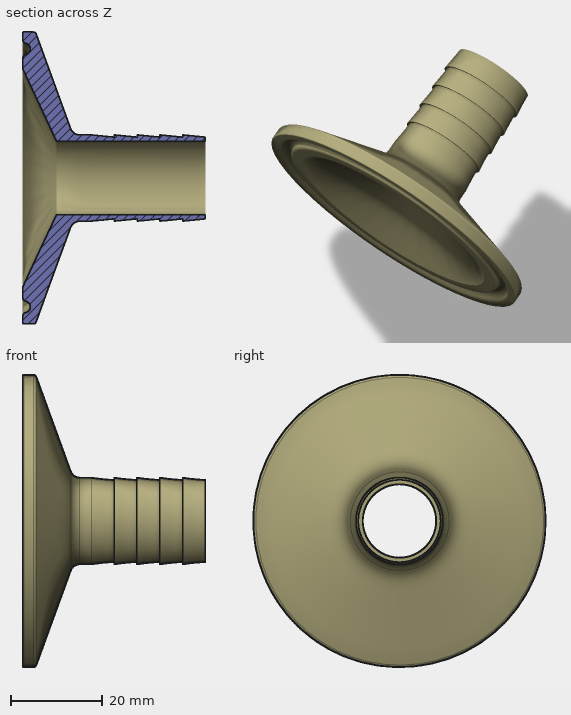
import cadquery as cq
import math


total_length = 40.0
bore_radius = 8.0

flange_radius = 32.0
rim_thickness = 2.85
outer_cone_angle = math.radians(20.0)
front_rim_fillet = 0.25
rear_rim_fillet = 0.8

mouth_radius = 23.85
inlet_cone_angle = math.radians(25.0)

groove_mid_radius = 28.25
groove_half_width = 2.0
groove_lip_radius = 0.8
groove_floor_radius = 1.2
groove_wall_angle = math.radians(20.0)

tail_radius = 9.5
neck_fillet = 2.0
barb_count = 5
barb_length = 5.0
barb_small_radius = 9.0


def turned(profile):
    """Revolve a closed (x, radius) profile about the X axis."""
    return profile.close().revolve(360, (0, 0, 0), (1, 0, 0))


def outer_body():
    """Rim, outer cone, neck and barbs as one solid of revolution."""
    neck_x = rim_thickness + (flange_radius - tail_radius) * math.tan(outer_cone_angle)
    first_barb_x = total_length - barb_count * barb_length
    profile = (
        cq.Workplane("XY")
        .moveTo(0, 0)
        .lineTo(0, flange_radius)
        .lineTo(rim_thickness, flange_radius)
        .lineTo(neck_x, tail_radius)
        .lineTo(first_barb_x, tail_radius)
    )
    for barb in range(barb_count):
        barb_end_x = first_barb_x + (barb + 1) * barb_length
        profile = profile.lineTo(barb_end_x, barb_small_radius)
        if barb < barb_count - 1:
            profile = profile.lineTo(barb_end_x, tail_radius)
    body = turned(profile.lineTo(total_length, 0))

    body = round_edge(body, 0, flange_radius, front_rim_fillet)
    body = round_edge(body, rim_thickness, flange_radius, rear_rim_fillet)
    return round_edge(body, neck_x, tail_radius, neck_fillet)


def round_edge(body, edge_x, edge_radius, fillet_radius):
    """Fillet the circular edge found at the given axial place and radius."""
    reach = 0.01
    near_edge = cq.selectors.BoxSelector(
        (edge_x - reach, -edge_radius - reach, -edge_radius - reach),
        (edge_x + reach, edge_radius + reach, edge_radius + reach),
        boundingbox=True,
    )
    return body.edges(near_edge).fillet(fillet_radius)


def passage():
    """Inlet cone narrowing into the straight bore."""
    cone_depth = (mouth_radius - bore_radius) * math.tan(inlet_cone_angle)
    return turned(
        cq.Workplane("XY")
        .moveTo(0, 0)
        .lineTo(0, mouth_radius)
        .lineTo(cone_depth, bore_radius)
        .lineTo(total_length, bore_radius)
        .lineTo(total_length, 0)
    )


def gasket_groove():
    """Ring groove with rounded lips, drafted walls and a round floor."""
    sin_wall = math.sin(groove_wall_angle)
    cos_wall = math.cos(groove_wall_angle)

    half_lip_turn = (math.pi / 2 - groove_wall_angle) / 2
    lip_mid_x = groove_lip_radius * (1 - math.cos(half_lip_turn))
    lip_mid_offset = groove_half_width - groove_lip_radius * math.sin(half_lip_turn)
    wall_top_x = groove_lip_radius * (1 - sin_wall)
    wall_top_offset = groove_half_width - groove_lip_radius * cos_wall
    wall_end_offset = groove_floor_radius * cos_wall
    wall_end_x = wall_top_x + (wall_top_offset - wall_end_offset) / math.tan(groove_wall_angle)
    floor_x = wall_end_x + groove_floor_radius * (1 - sin_wall)

    return turned(
        cq.Workplane("XY")
        .moveTo(0, groove_mid_radius - groove_half_width)
        .threePointArc(
            (lip_mid_x, groove_mid_radius - lip_mid_offset),
            (wall_top_x, groove_mid_radius - wall_top_offset),
        )
        .lineTo(wall_end_x, groove_mid_radius - wall_end_offset)
        .threePointArc(
            (floor_x, groove_mid_radius),
            (wall_end_x, groove_mid_radius + wall_end_offset),
        )
        .lineTo(wall_top_x, groove_mid_radius + wall_top_offset)
        .threePointArc(
            (lip_mid_x, groove_mid_radius + lip_mid_offset),
            (0, groove_mid_radius + groove_half_width),
        )
    )


result = outer_body().cut(passage()).cut(gasket_groove())